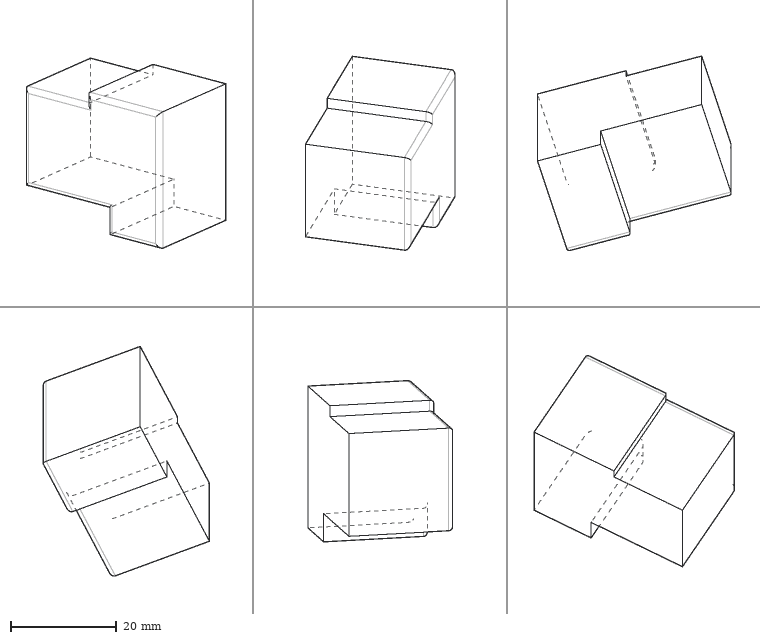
import cadquery as cq

length = 32.5
depth = 20.5
height = 27.6

top_step_x = 14.98
top_step_drop = 2.1
foot_x = 20.0
foot_height = 5.5
front_radius = 1.0

arm_top = height - top_step_drop

profile = [
    (0, foot_height),
    (foot_x, foot_height),
    (foot_x, 0),
    (length, 0),
    (length, height),
    (top_step_x, height),
    (top_step_x, arm_top),
    (0, arm_top),
]
body = cq.Workplane("XZ").polyline(profile).close().extrude(-depth)

result = body.faces("<Y").edges().fillet(front_radius)